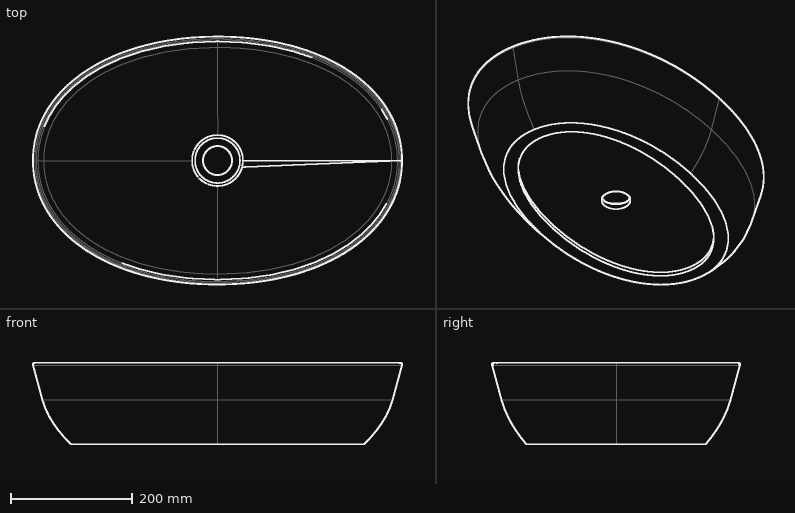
import cadquery as cq
import math

length = 610.5
width = 410.0
height = 135.0

circle_fullness = 4 / 3 * (math.sqrt(2) - 1)
oval_fullness = 0.58

shoulder_height = 74.0
flare_slope = 0.27
foot_half_length = 242.5
foot_half_width = 148.5
outer_sections = 5

rim_thickness = 8.5
rim_rounding = 3.0
rim_edge_growth = 0.9

bowl_shoulder_height = 103.0
bowl_shoulder_inset = 18.0
bowl_floor_height = 30.5
bowl_end_angle = math.radians(82)
bowl_sections = 7
length_spread_power = 0.71
width_spread_power = 0.95

drain_radius = 42.0
drain_lip = 5.0
drain_lip_drop = 1.0
hole_radius = 24.0
hole_top_height = 17.0

foot_ring_width = 24.5
recess_depth = 7.5

rim_half_length = length / 2 + rim_edge_growth
rim_half_width = width / 2 + rim_edge_growth


def oval_wire(half_length, half_width, z, fullness):
    """Closed horizontal oval on the Z axis, one cubic Bezier curve per quarter."""
    axis_ends = [(half_length, 0), (0, half_width), (-half_length, 0), (0, -half_width)]
    quarters = []
    for index, (start_x, start_y) in enumerate(axis_ends):
        end_x, end_y = axis_ends[(index + 1) % len(axis_ends)]
        corners = [
            (start_x, start_y),
            (start_x + fullness * end_x, start_y + fullness * end_y),
            (end_x + fullness * start_x, end_y + fullness * start_y),
            (end_x, end_y),
        ]
        quarters.append(cq.Edge.makeBezier([cq.Vector(x, y, z) for x, y in corners]))
    return cq.Wire.assembleEdges(quarters)


def loft(sections, ruled=False):
    """Solid through a list of (half_length, half_width, z, fullness) ovals."""
    return cq.Workplane(cq.Solid.makeLoft([oval_wire(*section) for section in sections], ruled))


def curled_half_size(shoulder_half_size, foot_half_size, fraction):
    """Half length or half width at a fraction of the way down from the shoulder to the foot."""
    flare_inset = flare_slope * shoulder_height
    curl_inset = shoulder_half_size - foot_half_size - flare_inset
    return shoulder_half_size - flare_inset * fraction - curl_inset * fraction**2


def outer_body():
    flare_inset = flare_slope * (height - shoulder_height)
    shoulder = (rim_half_length - flare_inset, rim_half_width - flare_inset, shoulder_height, oval_fullness)
    flare = loft([shoulder, (rim_half_length, rim_half_width, height, oval_fullness)], ruled=True)
    curl_sections = []
    for index in range(outer_sections):
        fraction = index / (outer_sections - 1)
        curl_sections.append((
            curled_half_size(shoulder[0], foot_half_length, fraction),
            curled_half_size(shoulder[1], foot_half_width, fraction),
            shoulder_height * (1 - fraction),
            oval_fullness,
        ))
    return flare.union(loft(curl_sections))


def bowl_section(fraction):
    """Bowl oval at a fraction of the sweep from the drain edge up to the bowl shoulder."""
    angle = bowl_end_angle * fraction
    spread = math.sin(angle) / math.sin(bowl_end_angle)
    rise = (1 - math.cos(angle)) / (1 - math.cos(bowl_end_angle))
    length_growth = length / 2 - bowl_shoulder_inset - drain_radius
    width_growth = width / 2 - bowl_shoulder_inset - drain_radius
    return (
        drain_radius + length_growth * spread**length_spread_power,
        drain_radius + width_growth * spread**width_spread_power,
        bowl_floor_height + (bowl_shoulder_height - bowl_floor_height) * rise,
        circle_fullness + (oval_fullness - circle_fullness) * fraction,
    )


def bowl_cavity():
    floor_sections = [bowl_section(index / (bowl_sections - 1)) for index in range(bowl_sections)]
    mouth = (rim_half_length - rim_thickness, rim_half_width - rim_thickness, height, oval_fullness)
    return loft(floor_sections).union(loft([floor_sections[-1], mouth], ruled=True))


def drain_cavity():
    seat_radius = drain_radius - drain_lip
    return (
        cq.Workplane("XZ")
        .lineTo(hole_radius, 0)
        .lineTo(hole_radius, hole_top_height)
        .lineTo(seat_radius, bowl_floor_height - drain_lip_drop)
        .lineTo(drain_radius, bowl_floor_height)
        .lineTo(0, bowl_floor_height)
        .close()
        .revolve(360, (0, 0, 0), (0, 1, 0))
    )


def foot_recess():
    half_length = foot_half_length - foot_ring_width
    half_width = foot_half_width - foot_ring_width
    bottom = (half_length, half_width, 0, oval_fullness)
    top = (half_length, half_width, recess_depth, oval_fullness)
    return loft([bottom, top], ruled=True)


basin = outer_body().cut(bowl_cavity())
basin = basin.faces(">Z").edges().fillet(rim_rounding)
result = basin.cut(drain_cavity()).cut(foot_recess())